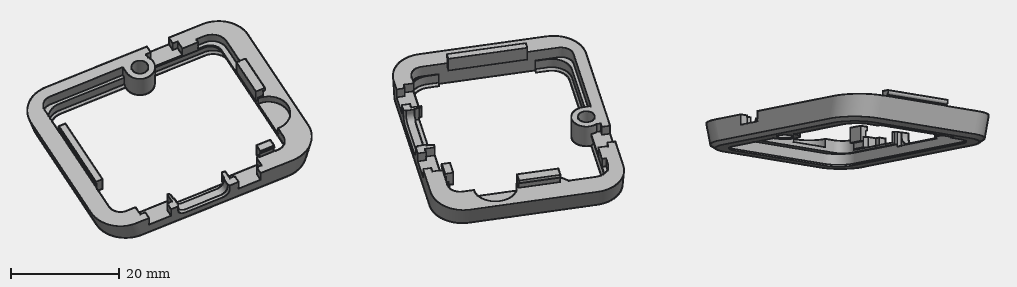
import cadquery as cq
import math

WIDTH = 36.4
LENGTH = 45.2
TOTAL_HEIGHT = 6.83
FRAME_HEIGHT = 4.8
OUTER_RADIUS = 6.1
BEVEL_HEIGHT = 0.7
BEVEL_INSET = 0.9
END_LEAN = 15.0

OPENING_X = 14.75
OPENING_FRONT_Y = -19.0
OPENING_BACK_Y = 17.25
OPENING_RADIUS = 2.4

SEAT_X = 15.25
SEAT_Y = 18.85
SEAT_RADIUS = 3.85
SEAT_TOP = 2.45
LIP_TOP = 0.45
LIP_WIDTH = 0.5
LIP_GAP_X = 9.15

NOTCH_FLOOR = 2.85
NOTCH_STEP_X = 16.65
NOTCH_INNER_LENGTH = 6.6
NOTCH_OUTER_LENGTH = 4.55
LEFT_NOTCH_Y = 7.0
RIGHT_NOTCHES_Y = (7.25, -11.4)

BUTTON_Y = -2.25
BUTTON_LENGTH = 10.6
BUTTON_LEDGE = 2.05
BUTTON_MOUTH_SPREAD = 0.2
BUTTON_WALL_X = 16.15
BUTTON_SLOT_FLOOR = 2.45
BUTTON_SLOT_LENGTH = 10.25
BUTTON_SLOT_RADIUS = 1.55
BUTTON_FLARE = 0.25
BUTTON_FLARE_DEPTH = 0.45

LEFT_POCKET_X = -15.85
LEFT_POCKET_END_Y = -1.5
CORNER_POCKET_X = -15.5
CORNER_POCKET_FRONT_Y = 13.6
CORNER_POCKET_BACK_Y = 18.35
CORNER_POCKET_END_X = -6.35
CORNER_POCKET_RADIUS = 3.05
CORNER_POCKET_FLOOR = 2.85
ROUND_POCKET_CENTER = (6.25, 17.4)
ROUND_POCKET_RADIUS = 4.0
ROUND_POCKET_FLOOR = 3.2

BOSS_CENTER = (-14.4, 1.3)
BOSS_RADIUS = 2.8
SCREW_HOLE_DIAMETER = 3.1

BACK_TAB_DEPTHS = (16.9, 18.45, 18.9)
BACK_TAB_SPAN = (-5.8, 2.05)
FRONT_TAB_DEPTHS = (17.8, -OPENING_FRONT_Y, 19.3)
FRONT_TAB_SPAN = (-7.5, 7.4)
RIGHT_TAB_DEPTHS = (13.42, OPENING_X, 15.1)
RIGHT_TAB_SPAN = (-14.0, -11.1)
TAB_BOTTOM = 4.0
HOOK_BOTTOM = 5.95
HOOK_NOSE_Z = 6.5
HOOK_TOP_SETBACK = 0.15

RIB_FRONT_Y = 10.5
RIB_BACK_Y = 14.45
RIB_DEPTH = 0.7


def box(x_min, x_max, y_min, y_max, z_min, z_max):
    """Axis-aligned block between the given limits."""
    size = (x_max - x_min, y_max - y_min, z_max - z_min)
    return cq.Workplane("XY").box(*size, centered=False).translate((x_min, y_min, z_min))


def rounded_block(x_min, x_max, y_min, y_max, z_min, z_max, radius):
    """Block with all four vertical edges rounded."""
    return box(x_min, x_max, y_min, y_max, z_min, z_max).edges("|Z").fillet(radius)


def rounded_wire(width, length, radius, z):
    """Rounded rectangle lying flat at height z."""
    sketch = cq.Sketch().rect(width, length).vertices().fillet(radius)
    outline = cq.Workplane("XY", origin=(0, 0, z)).placeSketch(sketch).extrude(0.45)
    return outline.faces("<Z").wires().val()


def frame_body():
    """Solid outer shape: upright long sides, leaning ends, bevelled bottom."""
    top_y = LENGTH / 2
    bottom_y = top_y - FRAME_HEIGHT * math.tan(math.radians(END_LEAN))
    outline = [(-bottom_y, 0), (bottom_y, 0), (top_y, FRAME_HEIGHT), (-top_y, FRAME_HEIGHT)]
    body = cq.Workplane("YZ").polyline(outline).close().extrude(WIDTH / 2, both=True)
    body = body.edges("not(#Z or |X)").fillet(OUTER_RADIUS)
    return body.faces("<Z").chamfer(BEVEL_INSET, BEVEL_HEIGHT)


def opening_cut():
    """Upper opening, window seat and the sloped lip round the bottom of it."""
    upper = rounded_block(
        -OPENING_X, OPENING_X, OPENING_FRONT_Y, OPENING_BACK_Y, SEAT_TOP, FRAME_HEIGHT, OPENING_RADIUS
    )
    seat = rounded_block(-SEAT_X, SEAT_X, -SEAT_Y, SEAT_Y, LIP_TOP, SEAT_TOP, SEAT_RADIUS)
    lip_sections = [
        rounded_wire(2 * (SEAT_X - LIP_WIDTH), 2 * (SEAT_Y - LIP_WIDTH), SEAT_RADIUS - LIP_WIDTH, 0),
        rounded_wire(2 * SEAT_X, 2 * SEAT_Y, SEAT_RADIUS, LIP_TOP),
    ]
    lip = cq.Workplane(cq.Solid.makeLoft(lip_sections, True))
    lip_gap = box(-LIP_GAP_X, LIP_GAP_X, OPENING_FRONT_Y, 0, 0, SEAT_TOP)
    return upper.union(seat).union(lip).union(lip_gap)


def side_notch(side, y_center):
    """Notch through a side wall, long inside and short outside; side is -1 or +1 in X."""
    depth = FRAME_HEIGHT - NOTCH_FLOOR
    inner_width = 2 * (NOTCH_STEP_X - OPENING_X)
    outer_width = 2 * (WIDTH / 2 - NOTCH_STEP_X)
    inner = cq.Workplane("XY").box(inner_width, NOTCH_INNER_LENGTH, depth, (True, True, False))
    outer = cq.Workplane("XY").box(outer_width, NOTCH_OUTER_LENGTH, depth, (True, True, False))
    inner = inner.translate((side * OPENING_X, y_center, NOTCH_FLOOR))
    outer = outer.translate((side * WIDTH / 2, y_center, NOTCH_FLOOR))
    return inner.union(outer)


def button_profile(x, margin):
    """Slot outline at a given X, grown by margin, with rounded lower corners."""
    half = BUTTON_SLOT_LENGTH / 2 + margin
    floor = BUTTON_SLOT_FLOOR - margin
    height = FRAME_HEIGHT + BUTTON_FLARE - floor
    radius = BUTTON_SLOT_RADIUS
    bend = radius * (1 - 0.5 ** 0.5)
    return (
        cq.Workplane("YZ", origin=(x, BUTTON_Y, floor))
        .moveTo(-half, height)
        .lineTo(-half, radius)
        .threePointArc((-half + bend, bend), (-half + radius, 0))
        .lineTo(half - radius, 0)
        .threePointArc((half - bend, bend), (half, radius))
        .lineTo(half, height)
        .close()
    )


def button_cut():
    """Ledge behind the button and a round-ended slot flaring at the outer face."""
    flare_x = WIDTH / 2 - BUTTON_FLARE_DEPTH
    half = BUTTON_LENGTH / 2
    mouth_half = half + BUTTON_MOUTH_SPREAD
    plan = [
        (OPENING_X, -mouth_half),
        (SEAT_X, -half),
        (BUTTON_WALL_X, -half),
        (BUTTON_WALL_X, half),
        (SEAT_X, half),
        (OPENING_X, mouth_half),
    ]
    ledge = cq.Workplane("XY", origin=(0, BUTTON_Y, BUTTON_LEDGE)).polyline(plan).close()
    ledge = ledge.extrude(FRAME_HEIGHT - BUTTON_LEDGE)
    slot = button_profile(BUTTON_WALL_X, 0).extrude(flare_x - BUTTON_WALL_X)
    flare_sections = [
        button_profile(flare_x, 0).wire().val(),
        button_profile(WIDTH / 2, BUTTON_FLARE).wire().val(),
    ]
    flare = cq.Workplane(cq.Solid.makeLoft(flare_sections, True))
    return ledge.union(slot).union(flare)


def left_pocket():
    """Widening of the opening along the front half of the left wall."""
    pocket = box(LEFT_POCKET_X, 0, OPENING_FRONT_Y, LEFT_POCKET_END_Y, SEAT_TOP, FRAME_HEIGHT)
    return pocket.edges("|Z and <X and <Y").fillet(OPENING_RADIUS)


def corner_pocket():
    """Shallow pocket round the back left corner, ending in a 45 degree face."""
    bevel = CORNER_POCKET_BACK_Y - OPENING_BACK_Y
    return (
        cq.Workplane("XY", origin=(0, 0, CORNER_POCKET_FLOOR))
        .moveTo(CORNER_POCKET_X, CORNER_POCKET_FRONT_Y)
        .lineTo(CORNER_POCKET_X, CORNER_POCKET_BACK_Y - CORNER_POCKET_RADIUS)
        .radiusArc(
            (CORNER_POCKET_X + CORNER_POCKET_RADIUS, CORNER_POCKET_BACK_Y), CORNER_POCKET_RADIUS
        )
        .lineTo(CORNER_POCKET_END_X - bevel, CORNER_POCKET_BACK_Y)
        .lineTo(CORNER_POCKET_END_X, OPENING_BACK_Y)
        .lineTo(CORNER_POCKET_END_X, CORNER_POCKET_FRONT_Y)
        .close()
        .extrude(FRAME_HEIGHT - CORNER_POCKET_FLOOR)
    )


def round_pocket():
    """Half-round pocket in the back wall."""
    depth = FRAME_HEIGHT - ROUND_POCKET_FLOOR
    pocket = cq.Workplane("XY").circle(ROUND_POCKET_RADIUS).extrude(depth)
    return pocket.translate((*ROUND_POCKET_CENTER, ROUND_POCKET_FLOOR))


def screw_boss():
    """Full-height boss blended straight into the left wall."""
    x, y = BOSS_CENTER
    post = cq.Workplane("XY").center(x, y).circle(BOSS_RADIUS).extrude(FRAME_HEIGHT)
    web = box(LEFT_POCKET_X, x, y - BOSS_RADIUS, y, 0, FRAME_HEIGHT)
    return post.union(web)


def snap_tab(inner, outer, nose, start, end, turn):
    """Round-nosed hooked tab facing +Y from start to end in X, then turned about Z."""
    return (
        cq.Workplane("YZ", origin=(start, 0, 0))
        .moveTo(inner, TAB_BOTTOM)
        .lineTo(outer, TAB_BOTTOM)
        .lineTo(outer, HOOK_BOTTOM)
        .threePointArc((nose, HOOK_NOSE_Z), (nose - HOOK_TOP_SETBACK, TOTAL_HEIGHT))
        .lineTo(inner, TOTAL_HEIGHT)
        .close()
        .extrude(end - start)
        .rotate((0, 0, 0), (0, 0, 1), turn)
    )


def tab_rib():
    """Wedge-sided rib carrying the right tab on the side wall."""
    crest_x = OPENING_X - RIB_DEPTH
    outline = [
        (OPENING_X, RIB_FRONT_Y),
        (crest_x, RIB_FRONT_Y + RIB_DEPTH),
        (crest_x, RIB_BACK_Y - RIB_DEPTH),
        (OPENING_X, RIB_BACK_Y),
    ]
    rib = cq.Workplane("XY", origin=(0, 0, NOTCH_FLOOR)).polyline(outline).close()
    return rib.extrude(FRAME_HEIGHT - NOTCH_FLOOR)


result = frame_body().cut(opening_cut()).cut(left_pocket()).union(screw_boss())
result = result.cut(side_notch(-1, LEFT_NOTCH_Y).cut(screw_boss()))
for notch_y in RIGHT_NOTCHES_Y:
    result = result.cut(side_notch(1, notch_y))
for pocket in (button_cut(), corner_pocket(), round_pocket()):
    result = result.cut(pocket)

back_tab = snap_tab(*BACK_TAB_DEPTHS, *BACK_TAB_SPAN, 0)
front_tab = snap_tab(*FRONT_TAB_DEPTHS, *FRONT_TAB_SPAN, 180)
right_tab = snap_tab(*RIGHT_TAB_DEPTHS, *RIGHT_TAB_SPAN, -90)
for feature in (tab_rib(), back_tab, front_tab, right_tab):
    result = result.union(feature)

screw_hole = cq.Workplane("XY").center(*BOSS_CENTER).circle(SCREW_HOLE_DIAMETER / 2).extrude(FRAME_HEIGHT)
result = result.cut(screw_hole)